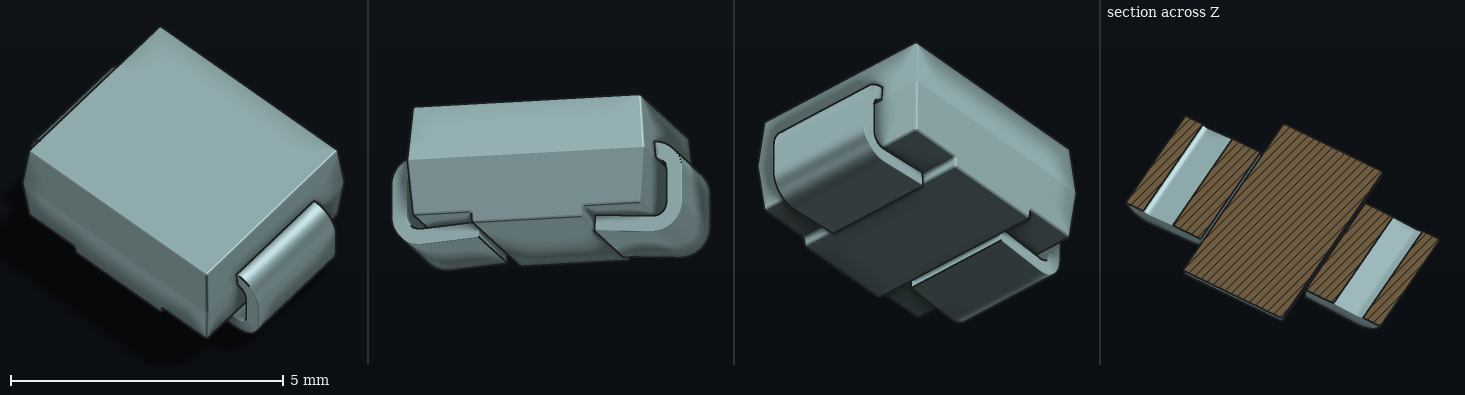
import cadquery as cq
import math

body_length = 4.5
body_width = 3.9
parting_z = 1.4
top_z = 2.43
pad_bottom_z = 0.175
draft_angle = 5.0
edge_radius = 0.05

recess_ceiling_z = 0.375
pad_half_length = 1.045

overall_length = 5.5
lead_width = 2.2
lead_thickness = 0.295
lead_edge_radius = 0.01
bend_radius = 0.55
foot_rise_angle = 4.0
foot_tip_x = -1.09
root_embed = 0.22


def drafted_half(height):
    """Half of the body, tapering inward from the parting plane."""
    return (
        cq.Workplane("XY")
        .workplane(offset=parting_z)
        .rect(body_length, body_width)
        .extrude(height, taper=draft_angle)
    )


def recess(side):
    """Cutter for the space above one foot; side is -1 or +1."""
    recess_depth = recess_ceiling_z - pad_bottom_z
    wall_lean = recess_depth * math.tan(math.radians(draft_angle))
    return (
        cq.Workplane("XZ")
        .moveTo(side * pad_half_length, pad_bottom_z)
        .lineTo(side * (pad_half_length + wall_lean), recess_ceiling_z)
        .lineTo(side * body_length, recess_ceiling_z)
        .lineTo(side * body_length, pad_bottom_z)
        .close()
        .extrude(body_width, both=True)
    )


def make_body():
    upper = drafted_half(top_z - parting_z)
    lower = drafted_half(pad_bottom_z - parting_z)
    body = upper.union(lower)
    for side in (-1, 1):
        body = body.cut(recess(side))
    rounded_edges = body.edges().filter(lambda edge: abs(edge.Center().z - parting_z) > edge_radius)
    return rounded_edges.fillet(edge_radius)


def make_left_lead():
    """Strip leaving the body above the parting plane, bent down and tucked under it."""
    inner_radius = bend_radius - lead_thickness
    bend_x = -overall_length / 2 + bend_radius
    upper_bend_z = parting_z + lead_thickness - bend_radius
    lower_bend_z = bend_radius
    foot_slope = math.radians(foot_rise_angle)
    foot_length = (foot_tip_x - bend_x - bend_radius * math.sin(foot_slope)) / math.cos(foot_slope)

    def bend_point(center_z, radius, angle):
        """Point on a bend, with the angle in radians measured from +X toward +Z."""
        return (bend_x + radius * math.cos(angle), center_z + radius * math.sin(angle))

    def foot_point(radius):
        """Far end of the foot face that is tangent to the lower bend of this radius."""
        x, z = bend_point(lower_bend_z, radius, foot_start)
        return (x + foot_length * math.cos(foot_slope), z + foot_length * math.sin(foot_slope))

    root_x = bend_x + root_embed
    top = math.pi / 2
    upper_middle = 3 * math.pi / 4
    outside = math.pi
    foot_start = 3 * math.pi / 2 + foot_slope
    lower_middle = (outside + foot_start) / 2

    profile = (
        cq.Workplane("XZ")
        .moveTo(root_x, parting_z + lead_thickness)
        .lineTo(*bend_point(upper_bend_z, bend_radius, top))
        .threePointArc(
            bend_point(upper_bend_z, bend_radius, upper_middle),
            bend_point(upper_bend_z, bend_radius, outside),
        )
        .lineTo(*bend_point(lower_bend_z, bend_radius, outside))
        .threePointArc(
            bend_point(lower_bend_z, bend_radius, lower_middle),
            bend_point(lower_bend_z, bend_radius, foot_start),
        )
        .lineTo(*foot_point(bend_radius))
        .lineTo(*foot_point(inner_radius))
        .lineTo(*bend_point(lower_bend_z, inner_radius, foot_start))
        .threePointArc(
            bend_point(lower_bend_z, inner_radius, lower_middle),
            bend_point(lower_bend_z, inner_radius, outside),
        )
        .lineTo(*bend_point(upper_bend_z, inner_radius, outside))
        .threePointArc(
            bend_point(upper_bend_z, inner_radius, upper_middle),
            bend_point(upper_bend_z, inner_radius, top),
        )
        .lineTo(root_x, parting_z)
        .close()
    )
    lead = profile.extrude(lead_width / 2, both=True)
    side_outlines = lead.faces("<Y or >Y").edges()
    return side_outlines.fillet(lead_edge_radius)


left_lead = make_left_lead()
right_lead = left_lead.mirror("YZ")
result = make_body().union(left_lead).union(right_lead)